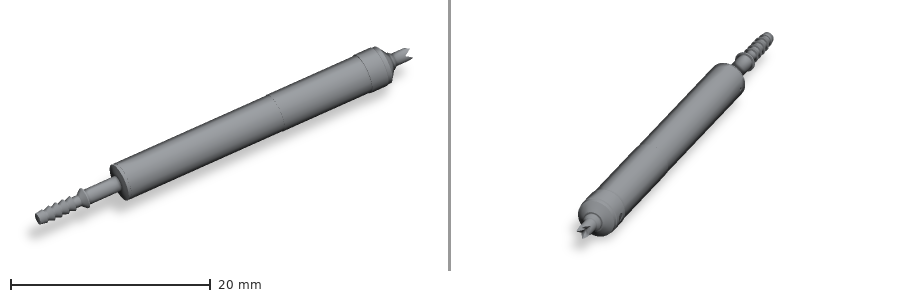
import cadquery as cq
import math

total_length = 42.7
tip_y = total_length / 2

plunger_radius = 0.7
plunger_length = 1.9
crown_points = 4
crown_groove_angle = 60.0

neck_radius = 0.95
neck_start = 2.18
nose_start = 2.45
nose_small_radius = 1.1
nose_end = 3.1

collar_radius = 2.1
collar_lip_start = 3.55
collar_start = 3.65
collar_end = 5.45

front_sleeve_radius = 2.0
rear_sleeve_radius = 1.95
rear_sleeve_start = 15.5
end_groove_radius = 1.92
end_groove_start = 33.0
end_groove_end = 33.25
barrel_end = 33.35
end_cone_height = 0.15

shaft_radius = 0.8
flange_radius = 1.05
flange_start = 37.28
flange_rim = 0.13
flange_taper = 0.55

tail_radius = 0.6
barb_count = 5
first_barb_start = 38.75
last_barb_start = 41.95
barb_pitch = (last_barb_start - first_barb_start) / (barb_count - 1)
barb_radius = 0.8
last_barb_radius = 0.73
barb_taper = 0.55

collar_recess_station = 4.5
collar_recess_radius = 0.43
barrel_recess_station = 32.3
barrel_recess_radius = 0.192
recess_depth = 0.13


def tail_profile():
    """Sharp-rimmed barbs with plain necks between; the last one tapers to the tail end."""
    points = []
    for index in range(barb_count - 1):
        start = first_barb_start + index * barb_pitch
        points += [
            (tail_radius, start),
            (barb_radius, start),
            (tail_radius, start + barb_taper),
        ]
    points += [
        (tail_radius, last_barb_start),
        (last_barb_radius, last_barb_start),
        (tail_radius, total_length),
        (0, total_length),
    ]
    return points


def probe_body():
    """Revolved body from the crown tip to the tail end."""
    flange_rim_end = flange_start + flange_rim
    profile = [
        (0, 0),
        (plunger_radius, 0),
        (plunger_radius, plunger_length),
        (neck_radius, neck_start),
        (neck_radius, nose_start),
        (nose_small_radius, nose_start),
        (front_sleeve_radius, nose_end),
        (front_sleeve_radius, collar_lip_start),
        (collar_radius, collar_start),
        (collar_radius, collar_end),
        (front_sleeve_radius, collar_end),
        (front_sleeve_radius, rear_sleeve_start),
        (rear_sleeve_radius, rear_sleeve_start),
        (rear_sleeve_radius, end_groove_start),
        (end_groove_radius, end_groove_start),
        (end_groove_radius, end_groove_end),
        (rear_sleeve_radius, end_groove_end),
        (rear_sleeve_radius, barrel_end),
        (shaft_radius, barrel_end + end_cone_height),
        (shaft_radius, flange_start),
        (flange_radius, flange_start),
        (flange_radius, flange_rim_end),
        (tail_radius, flange_rim_end + flange_taper),
    ]
    profile += tail_profile()
    outline = [(radius, tip_y - station) for radius, station in profile]
    return cq.Workplane("XY").polyline(outline).close().revolve(360, (0, 0), (0, 1))


def crown_grooves():
    """V grooves across the tip, midway between the points, leaving each point sharp."""
    half_point_angle = math.radians(180 / crown_points)
    half_width = plunger_radius * math.sin(half_point_angle)
    depth = half_width / math.tan(math.radians(crown_groove_angle / 2))
    groove = (
        cq.Workplane("XY")
        .polyline([(-half_width, tip_y), (half_width, tip_y), (0, tip_y - depth)])
        .close()
        .extrude(2 * plunger_radius, both=True)
    )
    grooves = cq.Workplane("XY")
    for index in range(crown_points // 2):
        angle = (index + 0.5) * 360 / crown_points
        grooves = grooves.add(groove.rotate((0, 0, 0), (0, 1, 0), angle))
    return grooves.combine()


def side_recess(station, radius, surface_radius):
    """Shallow round recess sunk into the -X side of a cylinder."""
    return (
        cq.Workplane("YZ", origin=(-surface_radius + recess_depth, tip_y - station, 0))
        .circle(radius)
        .extrude(-surface_radius)
    )


result = (
    probe_body()
    .cut(crown_grooves())
    .cut(side_recess(collar_recess_station, collar_recess_radius, collar_radius))
    .cut(side_recess(barrel_recess_station, barrel_recess_radius, rear_sleeve_radius))
)